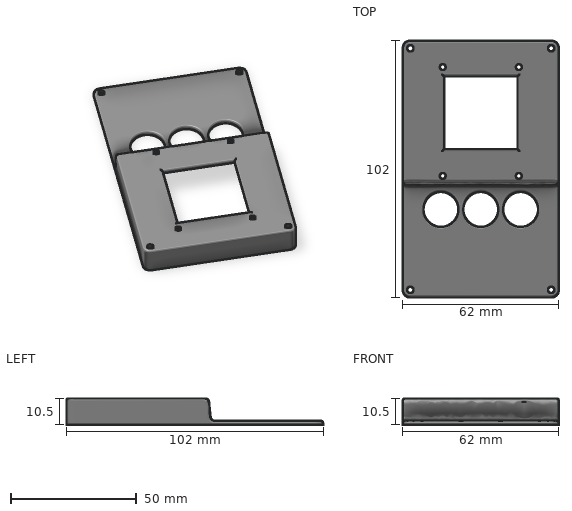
import cadquery as cq

width = 62.0
length = 102.0
height = 10.5
plate_thickness = 1.6
step_top_y = -3.9
step_foot_y = -8.0
corner_radius = 3.1
edge_radius = 1.0

window_width = 29.0
window_length = 28.8
window_y = 22.3
board_width = 35.9
board_length = 47.9
board_y = 18.9
window_lip = 1.4
board_hole_diameter = 2.2
board_hole_spacing_x = 30.2
board_hole_spacing_y = 43.1

button_diameter = 13.8
button_pitch = 15.8
button_y = -16.0
button_count = 3

corner_hole_diameter = 2.4


def make_body():
    """Stepped side profile, rounded in plan and along the upper rim."""
    step_curve = [
        (step_foot_y, height),
        (step_top_y, plate_thickness),
        (step_foot_y, plate_thickness),
    ]
    body = (
        cq.Workplane("YZ")
        .moveTo(-length / 2, 0)
        .lineTo(length / 2, 0)
        .lineTo(length / 2, height)
        .lineTo(step_top_y, height)
        .bezier(step_curve, includeCurrent=True)
        .lineTo(-length / 2, plate_thickness)
        .close()
        .extrude(width)
        .translate((-width / 2, 0, 0))
    )
    vertical_corners = cq.selectors.BoxSelector(
        (-width, -length, -height), (width, -length / 2 + edge_radius, height)
    ) + cq.selectors.BoxSelector(
        (-width, length / 2 - edge_radius, -height), (width, length, height)
    )
    body = body.edges("|Z").edges(vertical_corners).fillet(corner_radius)
    return body.edges(">Y and >Z").fillet(edge_radius)


def make_button_cutter():
    """Revolved through-hole cutter with a rounded mouth at the plate top."""
    radius = button_diameter / 2
    return (
        cq.Workplane("XZ")
        .lineTo(radius, 0)
        .lineTo(radius, plate_thickness - edge_radius)
        .radiusArc((radius + edge_radius, plate_thickness), edge_radius)
        .lineTo(0, plate_thickness)
        .close()
        .revolve(360, (0, 0, 0), (0, 1, 0))
    )


def make_window_cutter():
    """Rectangular cutter that flares in a round at the housing top."""
    profiles = []
    for plane, opening in (("XZ", window_width), ("YZ", window_length)):
        half = opening / 2
        profiles.append(
            cq.Workplane(plane)
            .moveTo(-half, 0)
            .lineTo(half, 0)
            .lineTo(half, height - edge_radius)
            .radiusArc((half + edge_radius, height), edge_radius)
            .lineTo(-half - edge_radius, height)
            .radiusArc((-half, height - edge_radius), edge_radius)
            .close()
            .extrude(width, both=True)
        )
    return profiles[0].intersect(profiles[1]).translate((0, window_y, 0))


def cut_hole_pattern(body, diameter, spacing_x, spacing_y, centre_y):
    """Four vertical through holes on a rectangle."""
    holes = (
        cq.Workplane("XY")
        .center(0, centre_y)
        .rect(spacing_x, spacing_y, forConstruction=True)
        .vertices()
        .circle(diameter / 2)
        .extrude(height)
    )
    return body.cut(holes)


result = make_body()

board_recess = (
    cq.Workplane("XY")
    .center(0, board_y)
    .rect(board_width, board_length)
    .extrude(height - window_lip)
)
result = result.cut(board_recess)
result = result.cut(make_window_cutter())

button_cutter = make_button_cutter()
for index in range(button_count):
    button_x = (index - (button_count - 1) / 2) * button_pitch
    result = result.cut(button_cutter.translate((button_x, button_y, 0)))

result = cut_hole_pattern(
    result, board_hole_diameter, board_hole_spacing_x, board_hole_spacing_y, board_y
)
result = cut_hole_pattern(
    result,
    corner_hole_diameter,
    width - 2 * corner_radius,
    length - 2 * corner_radius,
    0,
)